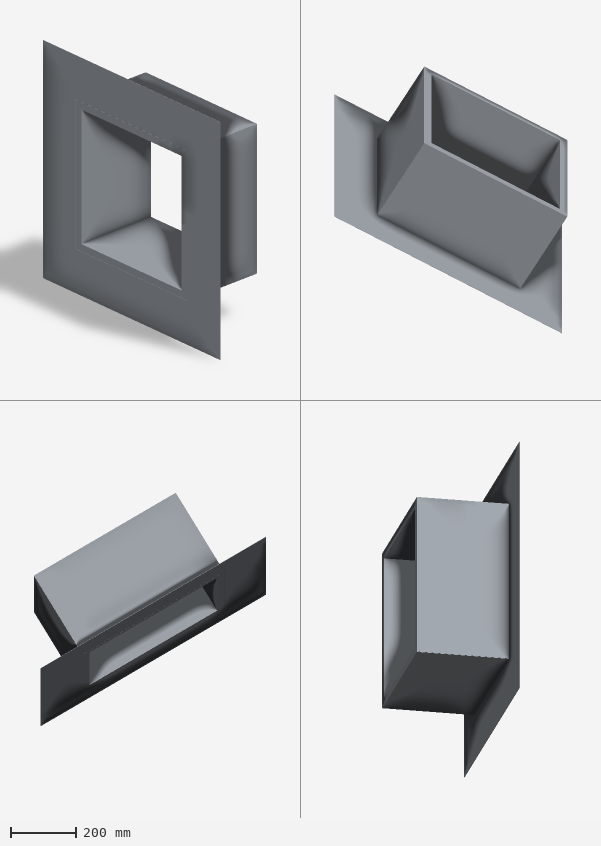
import cadquery as cq
import math

flange_side = 805.0
sheet_thickness = 1.0
frame_side = 505.0
frame_wall = 25.0
depth = 290.0

opening_side = frame_side - 2 * frame_wall
frame_half = frame_side / 2
sleeve_half = frame_half + sheet_thickness
sleeve_side = 2 * sleeve_half


def square_ring(outer_side, inner_side, ring_depth):
    """Square ring centred on the Y axis, running from Y = 0 to Y = ring_depth."""
    return (
        cq.Workplane("XZ")
        .rect(outer_side, outer_side)
        .rect(inner_side, inner_side)
        .extrude(-ring_depth)
    )


def make_frame():
    """Deep square frame, open from front to back."""
    return square_ring(frame_side, opening_side, depth)


def make_sleeve_wall(angle):
    """Sheet wall on one side of the frame, with a rounded bend at its front."""
    arc_offset = sheet_thickness * math.sqrt(0.5)
    bend_middle = (sleeve_half - arc_offset, sheet_thickness - arc_offset)
    return (
        cq.Workplane("XY")
        .moveTo(sleeve_half, 0)
        .threePointArc(bend_middle, (frame_half, sheet_thickness))
        .lineTo(frame_half, depth)
        .lineTo(sleeve_half, depth)
        .close()
        .extrude(frame_half, both=True)
        .rotate((0, 0, 0), (0, 1, 0), angle)
    )


def make_casing():
    """Front flange with four walls bent back around the frame; their corners stay open."""
    casing = square_ring(flange_side, sleeve_side, sheet_thickness)
    for angle in (0, 90, 180, 270):
        casing = casing.union(make_sleeve_wall(angle))
    return casing


frame = make_frame()
casing = make_casing()

result = cq.Compound.makeCompound([frame.val(), casing.val()])